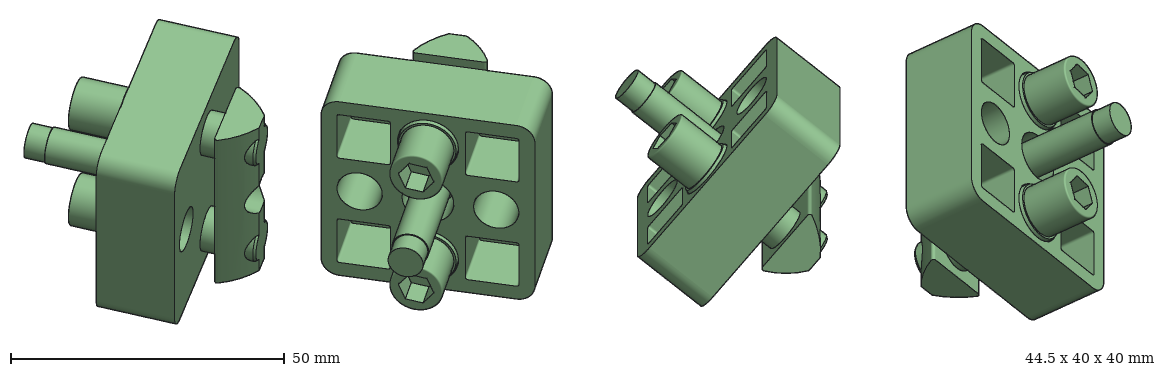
import cadquery as cq

plate_side = 40.0
plate_thickness = 15.0
plate_corner_radius = 3.45

hole_offset = 12.75
pocket_offset = 12.0

pocket_side = 10.0
pocket_corner_radius = 0.5
pocket_depth = 12.0
side_hole_diameter = 8.45

pin_diameter = 6.9
pin_length = 19.0
pin_tip_diameter = 6.55
pin_tip_length = 4.0
pin_recess_diameter = 9.65
pin_recess_depth = 10.0
pin_collar_diameter = 8.0
pin_collar_depth = 5.0

head_diameter = 9.95
head_height = 10.05
head_edge_radius = 0.3
flange_front_diameter = 10.75
flange_back_diameter = 11.12
flange_height = 0.62
counterbore_diameter = 11.4
counterbore_depth = 1.0
shank_diameter = 8.5
screw_end_diameter = 8.0
screw_end_chamfer_length = 0.5
screw_end_chamfer_width = 0.35
hex_sides = 6
hex_diameter = 6.68
hex_depth = 5.0
hex_angle = 7.0

bar_gap = 3.5
bar_thickness = 7.0
bar_length = 38.1
bar_base_width = 14.4
bar_middle_width = 7.95
bar_middle_height = 4.95
bar_nose_width = 3.3
bar_edge_radius = 0.5
bar_hole_diameter = screw_end_diameter

bar_start = plate_thickness + bar_gap
bar_end = bar_start + bar_thickness


def rod(diameter, start, end, z=0):
    """Cylinder along X between two X positions."""
    return cq.Workplane("YZ", origin=(start, 0, z)).circle(diameter / 2).extrude(end - start)


def make_plate():
    plate = (
        cq.Workplane("YZ")
        .rect(plate_side, plate_side)
        .extrude(plate_thickness)
        .edges("|X")
        .fillet(plate_corner_radius)
    )
    pockets = (
        cq.Workplane("YZ")
        .rect(2 * pocket_offset, 2 * pocket_offset, forConstruction=True)
        .vertices()
        .rect(pocket_side, pocket_side)
        .extrude(pocket_depth)
        .edges("|X")
        .fillet(pocket_corner_radius)
    )
    side_holes = (
        cq.Workplane("YZ")
        .pushPoints([(-hole_offset, 0), (hole_offset, 0)])
        .circle(side_hole_diameter / 2)
        .extrude(plate_thickness)
    )
    plate = plate.cut(pockets).cut(side_holes)
    plate = plate.cut(rod(pin_recess_diameter, 0, pin_recess_depth))
    for z in (-hole_offset, hole_offset):
        plate = plate.cut(rod(counterbore_diameter, 0, counterbore_depth, z))
    return plate


def make_pin():
    tip = rod(pin_tip_diameter, -pin_length, pin_tip_length - pin_length)
    body = rod(pin_diameter, pin_tip_length - pin_length, pin_recess_depth)
    collar = rod(pin_collar_diameter, pin_collar_depth, pin_recess_depth)
    return tip.union(body).union(collar)


def make_screw(z):
    head = rod(head_diameter, -head_height, counterbore_depth, z)
    head = head.faces("<X").edges().fillet(head_edge_radius)
    flare = (
        cq.Workplane("YZ", origin=(-flange_height, 0, z))
        .circle(flange_front_diameter / 2)
        .workplane(offset=flange_height)
        .circle(flange_back_diameter / 2)
        .loft(ruled=True)
    )
    flange = rod(flange_back_diameter, 0, counterbore_depth, z)
    shank = rod(shank_diameter, counterbore_depth, bar_start, z)
    end = (
        rod(screw_end_diameter, bar_start, bar_end, z)
        .faces(">X")
        .edges()
        .chamfer(screw_end_chamfer_length, screw_end_chamfer_width)
    )
    socket = (
        cq.Workplane("YZ", origin=(-head_height, 0, z))
        .transformed(rotate=(0, 0, hex_angle))
        .polygon(hex_sides, hex_diameter)
        .extrude(hex_depth)
    )
    return head.union(flare).union(flange).union(shank).union(end).cut(socket)


def make_bar():
    middle_x = bar_start + bar_middle_height
    bar = (
        cq.Workplane("XY", origin=(0, 0, -bar_length / 2))
        .moveTo(bar_start, -bar_base_width / 2)
        .threePointArc((middle_x, -bar_middle_width / 2), (bar_end, -bar_nose_width / 2))
        .lineTo(bar_end, bar_nose_width / 2)
        .threePointArc((middle_x, bar_middle_width / 2), (bar_start, bar_base_width / 2))
        .close()
        .extrude(bar_length)
        .edges("|Z and <X")
        .fillet(bar_edge_radius)
    )
    return bar.cut(rod(bar_hole_diameter, bar_start, bar_end))


result = make_plate().union(make_pin()).union(make_bar())
for screw_z in (-hole_offset, hole_offset):
    result = result.union(make_screw(screw_z))